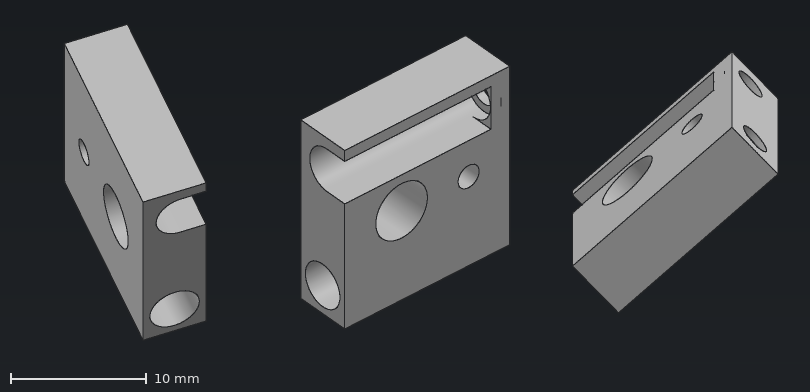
import cadquery as cq

width = 16.0
depth = 5.0
height = 16.4

main_hole_diameter = 5.0
main_hole_x = 2.5
small_hole_diameter = 2.03
small_hole_x = -4.0

cross_hole_diameter = 2.5
upper_hole_y = 0.5
upper_hole_z = 5.25
lower_hole_y = 0.0
lower_hole_z = -5.6

bore_diameter = 3.9
upper_wall = 0.8
lower_wall = 0.55

slot_wall = 1.84


def hole_along_y(diameter, x):
    """Cutter at mid-height, running through the full thickness."""
    return cq.Workplane("XZ").center(x, 0).circle(diameter / 2).extrude(depth / 2, both=True)


def hole_along_x(diameter, y, z):
    """Cutter running through the full width."""
    return cq.Workplane("YZ").center(y, z).circle(diameter / 2).extrude(width / 2, both=True)


def bore_from_right(diameter, y, z, wall):
    """Cutter entering from +X that leaves a wall at the -X end."""
    return cq.Workplane("YZ", origin=(width / 2, y, z)).circle(diameter / 2).extrude(wall - width)


def slot_to_back(height, y, z, wall):
    """Cutter from the bore axis to the +Y face, leaving a wall at the -X end."""
    slot_length = width - wall
    slot_depth = depth / 2 - y
    return (
        cq.Workplane("XY", origin=(wall - width / 2, y, z))
        .box(slot_length, slot_depth, height, centered=(False, False, True))
    )


result = (
    cq.Workplane("XY")
    .box(width, depth, height)
    .cut(hole_along_y(main_hole_diameter, main_hole_x))
    .cut(hole_along_y(small_hole_diameter, small_hole_x))
    .cut(hole_along_x(cross_hole_diameter, upper_hole_y, upper_hole_z))
    .cut(hole_along_x(cross_hole_diameter, lower_hole_y, lower_hole_z))
    .cut(bore_from_right(bore_diameter, upper_hole_y, upper_hole_z, upper_wall))
    .cut(bore_from_right(bore_diameter, lower_hole_y, lower_hole_z, lower_wall))
    .cut(slot_to_back(bore_diameter, upper_hole_y, upper_hole_z, slot_wall))
)